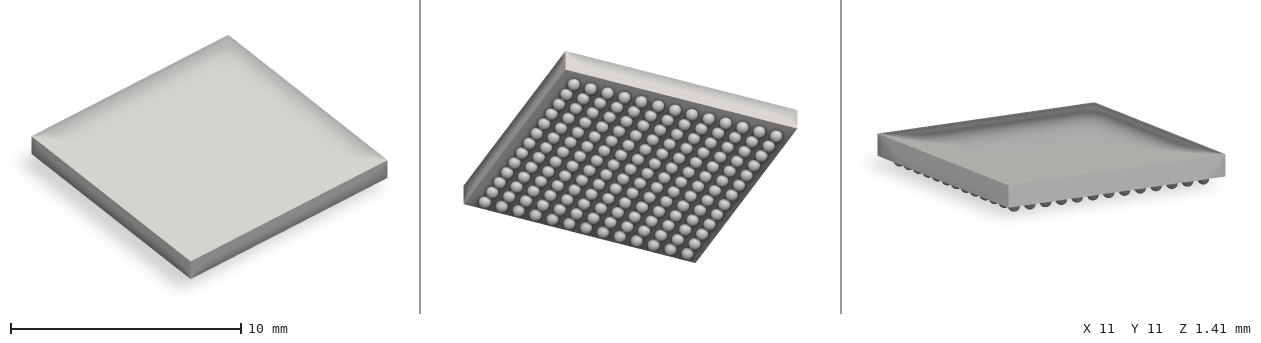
import cadquery as cq

side = 11
total_height = 1.41
ball_drop = 0.41
body_height = total_height - ball_drop

balls_per_side = 13
ball_grid_span = 9.6
ball_pitch = ball_grid_span / (balls_per_side - 1)
ball_diameter = 0.53
ball_radius = ball_diameter / 2
ball_center_z = ball_radius - ball_drop

mark_diameter = 1.1
mark_center_inset = 1.1
mark_depth = 0.002


def make_body():
    return cq.Workplane("XY").box(side, side, body_height, centered=(True, True, False))


def make_pin_mark():
    offset = side / 2 - mark_center_inset
    return (
        cq.Workplane("XY", origin=(-offset, offset, body_height - mark_depth))
        .circle(mark_diameter / 2)
        .extrude(mark_depth)
    )


def make_balls():
    """Solder balls cut flat where they meet the body underside."""
    ball = cq.Workplane("XY").sphere(ball_radius).translate((0, 0, ball_center_z))
    exposed_ball = ball.cut(make_body()).val()
    return (
        cq.Workplane("XY")
        .rarray(ball_pitch, ball_pitch, balls_per_side, balls_per_side)
        .eachpoint(lambda location: exposed_ball.moved(location))
    )


result = make_body().cut(make_pin_mark()).union(make_balls())